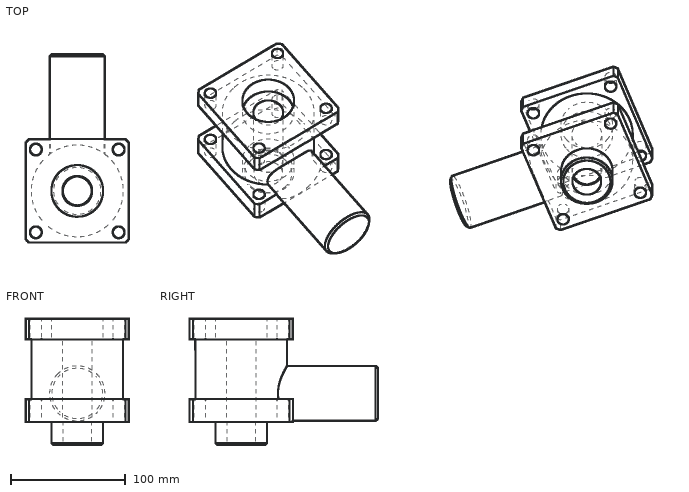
import cadquery as cq

flange_width = 90.0
flange_corner_chamfer = 3.0
lower_flange_thickness = 20.0
upper_flange_thickness = 18.0
bolt_diameter = 10.0
bolt_spacing = 72.0

spigot_diameter = 45.0
spigot_length = 20.0
spigot_chamfer = 2.0
body_diameter = 80.0
total_height = 110.0

socket_diameter = 45.0
socket_depth = upper_flange_thickness
body_bore_diameter = 26.0
spigot_bore_diameter = 25.0

arm_diameter = 48.0
arm_end_y = 119.0
arm_axis_z = 45.0
arm_chamfer = 2.0

lower_flange_top = spigot_length + lower_flange_thickness
upper_flange_bottom = total_height - upper_flange_thickness


def cylinder(diameter, bottom, top):
    """Upright cylinder on the main axis."""
    return cq.Workplane("XY").workplane(offset=bottom).circle(diameter / 2).extrude(top - bottom)


def flange(bottom, thickness):
    """Square plate with chamfered corners."""
    return (
        cq.Workplane("XY")
        .workplane(offset=bottom)
        .rect(flange_width, flange_width)
        .extrude(thickness)
        .edges("|Z")
        .chamfer(flange_corner_chamfer)
    )


def bolt_holes():
    """Four holes running through both flanges."""
    return (
        cq.Workplane("XY")
        .rect(bolt_spacing, bolt_spacing, forConstruction=True)
        .vertices()
        .circle(bolt_diameter / 2)
        .extrude(total_height)
    )


def arm():
    """Round arm from the main axis out to +Y, chamfered at its free end."""
    return (
        cq.Workplane("XZ", origin=(0, 0, arm_axis_z))
        .circle(arm_diameter / 2)
        .extrude(-arm_end_y)
        .faces(">Y")
        .chamfer(arm_chamfer)
    )


spigot = cylinder(spigot_diameter, 0, spigot_length).faces("<Z").chamfer(spigot_chamfer)
body = cylinder(body_diameter, lower_flange_top, upper_flange_bottom)

result = (
    flange(spigot_length, lower_flange_thickness)
    .union(spigot)
    .union(body)
    .union(flange(upper_flange_bottom, upper_flange_thickness))
    .union(arm())
    .cut(bolt_holes())
    .cut(cylinder(socket_diameter, total_height - socket_depth, total_height))
    .cut(cylinder(body_bore_diameter, spigot_length, total_height))
    .cut(cylinder(spigot_bore_diameter, 0, spigot_length))
)